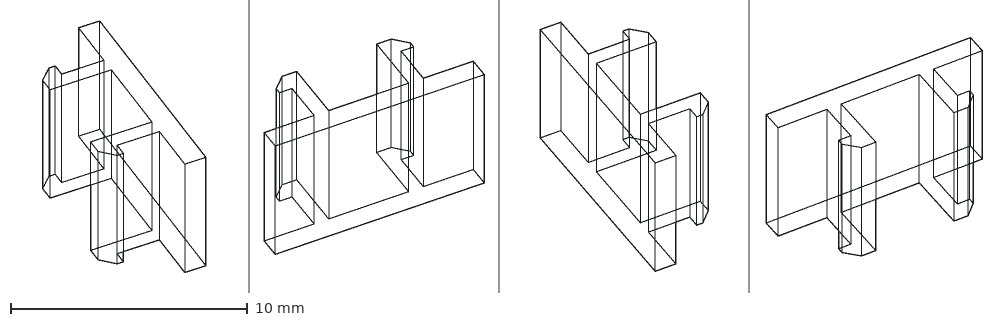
import cadquery as cq

plate_width = 10.0
plate_thickness = 1.0
height = 6.0

leg_gap = 3.82
leg_thickness = 0.7
leg_length = 2.9

hook_overhang = 0.6
hook_lip = 0.3

leg_inner_x = leg_gap / 2
leg_outer_x = leg_inner_x + leg_thickness
hook_x = leg_outer_x + hook_overhang
tip_y = -leg_length
lead_in_y = tip_y + hook_overhang
catch_y = lead_in_y + hook_lip


def make_plate():
    """Flat plate whose front face lies at Y = 0."""
    return cq.Workplane("XY").box(
        plate_width, plate_thickness, height, centered=(True, False, False)
    )


def make_leg(side):
    """Hooked leg on the +X (side = 1) or -X (side = -1) half."""
    root_y = plate_thickness / 2
    profile = [
        (leg_inner_x, root_y),
        (leg_inner_x, tip_y),
        (leg_outer_x, tip_y),
        (hook_x, lead_in_y),
        (hook_x, catch_y),
        (leg_outer_x, catch_y),
        (leg_outer_x, root_y),
    ]
    points = [(side * x, y) for x, y in profile]
    return cq.Workplane("XY").polyline(points).close().extrude(height)


result = make_plate()
for side in (-1, 1):
    result = result.union(make_leg(side))